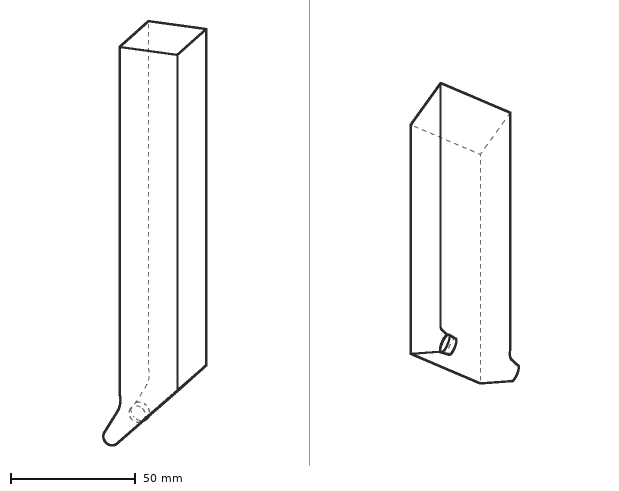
import cadquery as cq
import math

total_length = 171.4
shank_width = 24.8
shank_depth = 31.9

insert_overhang = 7.5
insert_radius = 4.0
insert_thickness = 3.5
insert_protrusion = 0.2
insert_relief_angle = math.radians(7)
insert_base_radius = insert_radius - insert_thickness * math.tan(insert_relief_angle)
tip_x = insert_radius - insert_overhang
tip_z = insert_radius

nose_radius = 3.5
neck_angle = math.radians(30)
clearance_angle = math.radians(45)
bend_top_z = 23.0
bend_bottom_z = 15.3


def nose_point(angle):
    """Point on the nose circle at an angle counterclockwise from +X."""
    return (tip_x + nose_radius * math.cos(angle), tip_z + nose_radius * math.sin(angle))


def make_insert():
    """Tapered round disc with its larger face towards +Y."""
    return (
        cq.Workplane("XZ", origin=(tip_x, insert_protrusion, tip_z))
        .circle(insert_radius)
        .workplane(offset=insert_thickness)
        .circle(insert_base_radius)
        .loft(ruled=True)
    )


def make_holder(insert):
    """Shank and nose in one profile, with a seat that matches the insert."""
    left_tangent = nose_point(math.pi - neck_angle)
    right_tangent = nose_point(-clearance_angle)
    nose_bottom = nose_point(-math.pi / 2)
    clearance_top_z = right_tangent[1] + (shank_width - right_tangent[0]) / math.tan(clearance_angle)
    bend_bottom_x = left_tangent[0] + (bend_bottom_z - left_tangent[1]) * math.tan(neck_angle)

    body = (
        cq.Workplane("XZ")
        .moveTo(0, total_length)
        .lineTo(shank_width, total_length)
        .lineTo(shank_width, clearance_top_z)
        .lineTo(*right_tangent)
        .threePointArc(nose_bottom, left_tangent)
        .lineTo(bend_bottom_x, bend_bottom_z)
        .tangentArcPoint((0, bend_top_z), relative=False)
        .close()
        .extrude(shank_depth)
    )
    return body.cut(insert)


insert = make_insert()
holder = make_holder(insert)

result = cq.Compound.makeCompound([holder.val(), insert.val()])